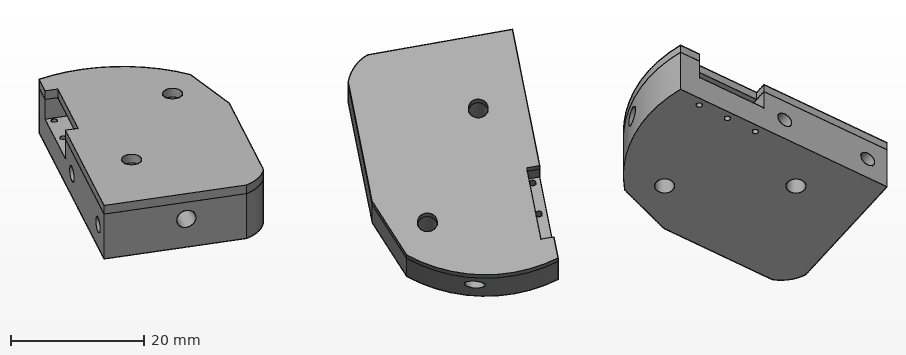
import cadquery as cq

LENGTH = 38.25
WIDTH = 25.8
HEIGHT = 9.5
LID_THICKNESS = 1.53
HOUSING_HEIGHT = HEIGHT - LID_THICKNESS

FRONT_LEFT_X = 1.05
BULGE_Y = 6.8
BEVEL_START = (5.7, 22.3)
BEVEL_END_X = 15.1
CORNER_SIZE = 3.65
CORNER_RADIUS = 6.3

NOTCH_START_X = 4.48
NOTCH_LENGTH = 11.6
NOTCH_FLOOR_Z = 4.48
NOTCH_CENTER_X = NOTCH_START_X + NOTCH_LENGTH / 2
LID_NOTCH_DEPTH = 2.0
LEDGE_DEPTH = 3.9

LEDGE_HOLE_DIAMETER = 0.9
LEDGE_HOLE_SPACING = 5.05
LEDGE_HOLE_Y = 1.22

CAVITY_FLOOR_Z = LID_THICKNESS
CAVITY_SIDE_MARGIN = 1.1
CAVITY_LENGTH = NOTCH_LENGTH + 2 * CAVITY_SIDE_MARGIN
CAVITY_BACK_Y = 15.07

MOUNT_DIAMETER = 3.0
MOUNT_CENTERS = [(10.25, 18.3), (26.75, 7.42)]

CROSS_DIAMETER = 3.0
CROSS_Y = 12.8
CROSS_Z = 5.0

FRONT_DIAMETER = 2.5
FRONT_DEPTH = 7.65
FRONT_Z = 4.0
FRONT_CENTERS_X = [19.8, 34.77]


def plate(bottom, thickness):
    """Full outline, shared by the housing and the lid."""
    return (
        cq.Workplane("XY", origin=(0, 0, bottom))
        .moveTo(FRONT_LEFT_X, 0)
        .lineTo(LENGTH, 0)
        .lineTo(LENGTH, WIDTH - CORNER_SIZE)
        .radiusArc((LENGTH - CORNER_SIZE, WIDTH), -CORNER_RADIUS)
        .lineTo(BEVEL_END_X, WIDTH)
        .lineTo(*BEVEL_START)
        .threePointArc((0, BULGE_Y), (FRONT_LEFT_X, 0))
        .close()
        .extrude(thickness)
    )


def front_block(length, front, back, bottom):
    """Cutting block centred on the notch, reaching up to the top face."""
    return cq.Workplane("XY").box(
        length, back - front, HEIGHT - bottom, centered=(True, False, False)
    ).translate((NOTCH_CENTER_X, front, bottom))


def vertical_holes(centers, diameter):
    return cq.Workplane("XY").pushPoints(centers).circle(diameter / 2).extrude(HEIGHT)


def cross_hole():
    return (
        cq.Workplane("YZ")
        .center(CROSS_Y, CROSS_Z)
        .circle(CROSS_DIAMETER / 2)
        .extrude(LENGTH)
    )


def front_holes():
    centers = [(x, FRONT_Z) for x in FRONT_CENTERS_X]
    return cq.Workplane("XZ").pushPoints(centers).circle(FRONT_DIAMETER / 2).extrude(-FRONT_DEPTH)


def make_housing():
    ledge_centers = [
        (NOTCH_CENTER_X + step * LEDGE_HOLE_SPACING, LEDGE_HOLE_Y) for step in (-1, 0, 1)
    ]
    return (
        plate(0, HOUSING_HEIGHT)
        .cut(front_block(NOTCH_LENGTH, 0, LEDGE_DEPTH, NOTCH_FLOOR_Z))
        .cut(front_block(CAVITY_LENGTH, LEDGE_DEPTH, CAVITY_BACK_Y, CAVITY_FLOOR_Z))
        .cut(vertical_holes(ledge_centers, LEDGE_HOLE_DIAMETER))
        .cut(vertical_holes(MOUNT_CENTERS, MOUNT_DIAMETER))
        .cut(cross_hole())
        .cut(front_holes())
    )


def make_lid():
    return (
        plate(HOUSING_HEIGHT, LID_THICKNESS)
        .cut(front_block(NOTCH_LENGTH, 0, LID_NOTCH_DEPTH, HOUSING_HEIGHT))
        .cut(vertical_holes(MOUNT_CENTERS, MOUNT_DIAMETER))
    )


housing = make_housing()
lid = make_lid()

result = cq.Compound.makeCompound([housing.solids().val(), lid.solids().val()])